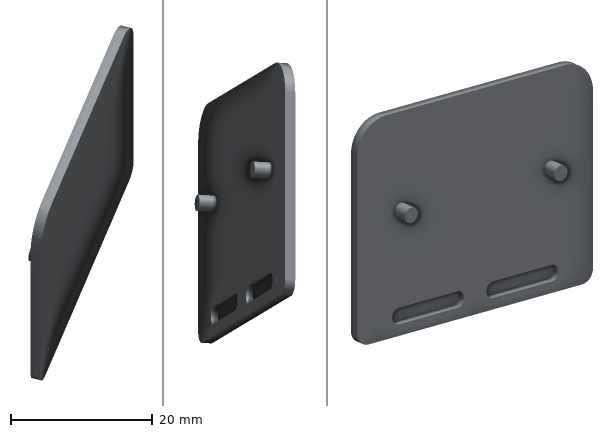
import cadquery as cq

plate_width = 42.5
plate_height = 34.0
plate_thickness = 1.5
top_corner_radius = 5.0
bottom_corner_radius = 2.0

pin_diameter = 2.35
pin_length = 2.5
pin_spacing = 27.0
pin_height = 19.0

slot_length = 13.0
slot_width = 2.5
slot_spacing = 17.0
slot_height = 3.0
slot_depth = 1.0


def make_plate():
    """Plate standing on Z = 0, with large top and small bottom corner radii."""
    blank = cq.Workplane("XY").box(
        plate_thickness, plate_width, plate_height, centered=(False, True, False)
    )
    rounded_top = blank.edges("|X and >Z").fillet(top_corner_radius)
    return rounded_top.edges("|X and <Z").fillet(bottom_corner_radius)


def pair_on_front(spacing, height):
    """Two points on the front face, symmetric about the plate's centre line."""
    return cq.Workplane("YZ").pushPoints([(-spacing / 2, height), (spacing / 2, height)])


pins = pair_on_front(pin_spacing, pin_height).circle(pin_diameter / 2).extrude(-pin_length)
slots = pair_on_front(slot_spacing, slot_height).slot2D(slot_length, slot_width).extrude(slot_depth)

result = make_plate().union(pins).cut(slots)